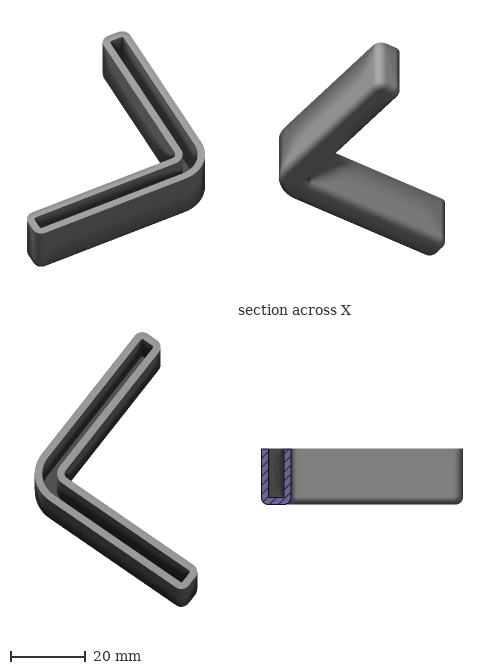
import cadquery as cq

length = 54.0
height = 15.0
arm_width = 8.0
wall = 2.0
floor = wall

inner_bend_radius = 1.5
outer_bend_radius = inner_bend_radius + arm_width
end_radius = 2.5
bottom_radius = 2.0


def angle_prism(inset, prism_height):
    """L-shaped prism with rounded corners, its outline moved inward by inset."""
    near = inset
    far = length - inset
    inner = length - arm_width + inset
    outer_bend = outer_bend_radius - inset
    inner_bend = inner_bend_radius + inset
    prism = (
        cq.Workplane("XY")
        .moveTo(near, inner)
        .lineTo(inner, inner)
        .lineTo(inner, near)
        .lineTo(far, near)
        .lineTo(far, far)
        .lineTo(near, far)
        .close()
        .extrude(prism_height)
    )
    corners = [
        (near, inner, end_radius - inset),
        (near, far, end_radius - inset),
        (inner, near, end_radius - inset),
        (far, near, end_radius - inset),
        (far, far, outer_bend),
        (inner, inner, inner_bend),
    ]
    for x, y, radius in corners:
        corner_edge = cq.selectors.NearestToPointSelector((x, y, prism_height / 2))
        prism = prism.edges(corner_edge).fillet(radius)
    return prism


body = angle_prism(0, height).faces("<Z").edges().fillet(bottom_radius)

channel = angle_prism(wall, height - floor).translate((0, 0, floor))

result = body.cut(channel)